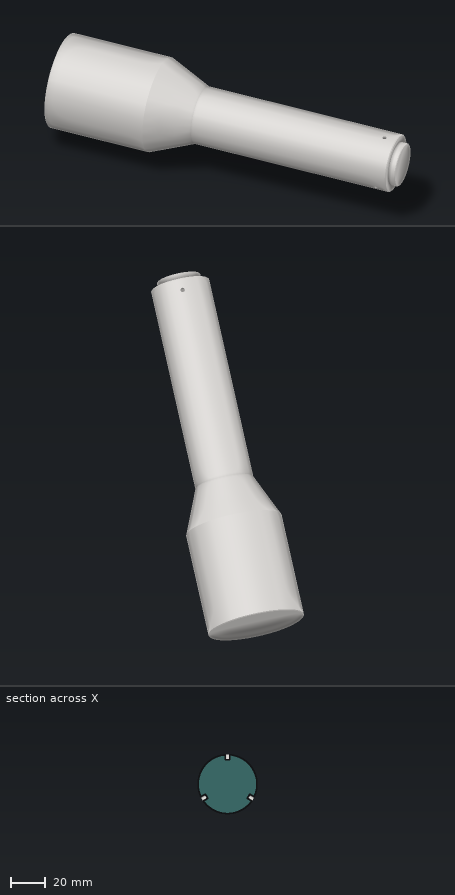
import cadquery as cq

total_length = 209.2
head_diameter = 56.0
head_length = 60.2
head_front_chamfer = 0.5
cone_length = 25.6
barrel_diameter = 34.0
barrel_rear_chamfer = 0.5

mount_diameter = 25.4
mount_length = 4.1
mount_chamfer = 0.4

screw_count = 3
screw_diameter = 2.5
screw_depth = 3.0
screw_from_barrel_end = 7.1

head_radius = head_diameter / 2
barrel_radius = barrel_diameter / 2
mount_radius = mount_diameter / 2
cone_end = head_length + cone_length
barrel_end = total_length - mount_length


def make_body():
    """Revolve the half outline of the head, cone, barrel and mount."""
    outline = [
        (0, 0),
        (0, head_radius - head_front_chamfer),
        (head_front_chamfer, head_radius),
        (head_length, head_radius),
        (cone_end, barrel_radius),
        (barrel_end - barrel_rear_chamfer, barrel_radius),
        (barrel_end, barrel_radius - barrel_rear_chamfer),
        (barrel_end, mount_radius),
        (total_length - mount_chamfer, mount_radius),
        (total_length, mount_radius - mount_chamfer),
        (total_length, 0),
    ]
    return cq.Workplane("XY").polyline(outline).close().revolve(360, (0, 0, 0), (1, 0, 0))


def make_screw_holes():
    """Cutters for the radial holes, spaced evenly around X from +Z."""
    screw_x = barrel_end - screw_from_barrel_end
    hole = (
        cq.Workplane("XY", origin=(screw_x, 0, barrel_radius - screw_depth))
        .circle(screw_diameter / 2)
        .extrude(2 * screw_depth)
    )
    holes = cq.Workplane("XY")
    for index in range(screw_count):
        angle = index * 360 / screw_count
        holes = holes.add(hole.rotate((0, 0, 0), (1, 0, 0), angle))
    return holes.combine()


result = make_body().cut(make_screw_holes())